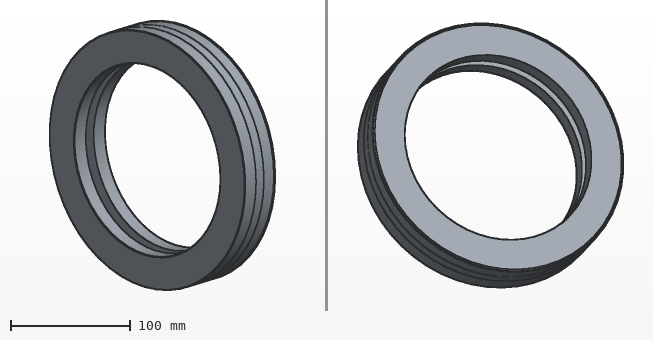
import cadquery as cq

outer_diameter = 222.2
bore_diameter = 165.1
cavity_diameter = 221.1
washer_diameter = 221.0
front_edge_chamfer = 0.55

cup_floor = 14.2
cup_depth = 37.3
washer_start = 24.0
total_width = 38.0

washer_taper_start = 36.2
washer_rear_diameter = 218.2


def ring(outside, inside, start, end):
    """Ring around the Y axis, between two Y positions."""
    return (
        cq.Workplane("XZ", origin=(0, start, 0))
        .circle(outside / 2)
        .circle(inside / 2)
        .extrude(start - end)
    )


def make_cup():
    """Bored floor, chamfered at both front edges, with a thin wall around the cavity."""
    floor = ring(outer_diameter, bore_diameter, 0, cup_floor).faces("<Y").chamfer(front_edge_chamfer)
    wall = ring(outer_diameter, cavity_diameter, cup_floor, cup_depth)
    return floor.union(wall)


def make_washer():
    """Washer in the cavity's mouth, set apart from the floor and standing proud of the wall."""
    half_section = [
        (bore_diameter / 2, washer_start),
        (washer_diameter / 2, washer_start),
        (washer_diameter / 2, washer_taper_start),
        (washer_rear_diameter / 2, total_width),
        (bore_diameter / 2, total_width),
    ]
    return cq.Workplane("XY").polyline(half_section).close().revolve(360, (0, 0), (0, 1))


cup = make_cup()
washer = make_washer()

result = cq.Compound.makeCompound([cup.val(), washer.val()])